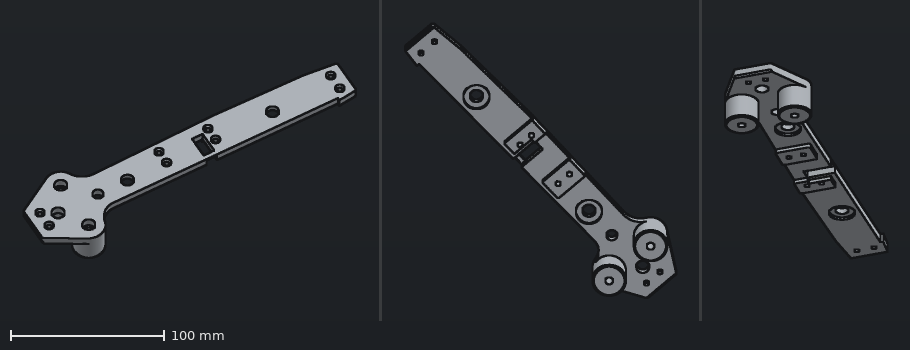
import cadquery as cq
import math

length = 236.5
plate_thickness = 6.5
total_height = 23.2
half_length = length / 2

end_half_width = 12.5
taper_half_width = 15.1
taper_y = 94.0
bulge_x = -16.8
bulge_y = 27.5
neck_left_x = -15.4
neck_right_x = 11.0
neck_y = -64.0
right_edge_x = 12.0
hook_y = 104.5
end_corner_radius = 1.5
end_chamfer_height = 1.5
end_chamfer_depth = 1.0

standoff_x = 18.2
standoff_y = -86.8
standoff_diameter = 22.0
standoff_chamfer = 1.0
standoff_bore = 5.0
standoff_counterbore = 8.5
standoff_counterbore_depth = 6.6

pad_length = 15.5
pad_height = 2.8
pad_right_x = 7.8
pad_corner_radius = 1.0
pad_centers_y = (19.0, -18.0)

window_width = 15.1
window_length = 7.8
window_x = 0.2
window_top_y = 13.7
window_skin = 1.5
pad_setback = 3.0

arm_hole_ys = (62.2, -47.0)
arm_hole_diameter = 8.5
arm_hole_recess = 17.0
arm_hole_skin = 4.5
upper_head_hole_y = -69.3
upper_head_hole_diameter = 7.0
lower_head_hole_y = -99.3
lower_head_hole_diameter = 8.5

screw_bore = 3.3
screw_head = 6.1
end_screw_x = 6.0
end_screw_y = 109.5
pad_screw_xs = (-9.2, 0.7)


def neck_fillet(neck_x, side):
    """Middle and end of the fillet from the arm edge to the standoff circle (side +1 right, -1 left)."""
    head_radius = standoff_diameter / 2
    offset = standoff_x - side * neck_x
    rise = neck_y - standoff_y
    fillet_radius = (offset**2 + rise**2 - head_radius**2) / (2 * (offset + head_radius))
    join_angle = math.atan2(rise, fillet_radius - offset)
    middle_angle = math.pi + join_angle / 2
    middle = (
        neck_x + side * fillet_radius * (1 + math.cos(middle_angle)),
        neck_y + fillet_radius * math.sin(middle_angle),
    )
    return middle, on_standoff(join_angle, side)


def on_standoff(angle, side):
    """Point on the standoff circle; the angle is mirrored for the left one."""
    radius = standoff_diameter / 2
    return (
        side * (standoff_x + radius * math.cos(angle)),
        standoff_y + radius * math.sin(angle),
    )


def flank_start(side):
    """Point where the straight flank from the end corner touches the standoff circle."""
    to_corner_x = end_half_width - standoff_x
    to_corner_y = -half_length - standoff_y
    corner_distance = math.hypot(to_corner_x, to_corner_y)
    tangent_turn = math.acos(standoff_diameter / 2 / corner_distance)
    return on_standoff(math.atan2(to_corner_y, to_corner_x) + tangent_turn, side)


def arm_left_x(y):
    """X of the straight left edge between the bulge and the neck."""
    return bulge_x + (neck_left_x - bulge_x) * (y - bulge_y) / (neck_y - bulge_y)


def make_plate():
    """Plate without the round head corners, which are the tops of the standoffs."""
    taper_slope = (taper_half_width - end_half_width) / (half_length - taper_y)
    hook_x = end_half_width + taper_slope * (half_length - hook_y)
    right_middle, right_join = neck_fillet(neck_right_x, 1)
    left_middle, left_join = neck_fillet(neck_left_x, -1)
    plate = (
        cq.Workplane("XY")
        .moveTo(-end_half_width, half_length)
        .lineTo(end_half_width, half_length)
        .lineTo(hook_x, hook_y)
        .lineTo(right_edge_x, hook_y)
        .lineTo(neck_right_x, neck_y)
        .threePointArc(right_middle, right_join)
        .lineTo(standoff_x, standoff_y)
        .lineTo(*flank_start(1))
        .lineTo(end_half_width, -half_length)
        .lineTo(-end_half_width, -half_length)
        .lineTo(*flank_start(-1))
        .lineTo(-standoff_x, standoff_y)
        .lineTo(*left_join)
        .threePointArc(left_middle, (neck_left_x, neck_y))
        .lineTo(bulge_x, bulge_y)
        .lineTo(-taper_half_width, taper_y)
        .close()
        .extrude(-plate_thickness)
    )
    for end in (">Y", "<Y"):
        plate = plate.faces(end).edges("|Z").fillet(end_corner_radius)
    return plate


def end_chamfer_cut(side):
    """Wedge that bevels the lower edge of one end of the plate."""
    end_y = side * half_length
    return (
        cq.Workplane("YZ")
        .moveTo(end_y, -plate_thickness + end_chamfer_height)
        .lineTo(end_y, -plate_thickness)
        .lineTo(end_y - side * end_chamfer_depth, -plate_thickness)
        .close()
        .extrude(end_half_width * 2, both=True)
    )


def make_standoffs():
    return (
        cq.Workplane("XY")
        .pushPoints([(-standoff_x, standoff_y), (standoff_x, standoff_y)])
        .circle(standoff_diameter / 2)
        .extrude(-total_height)
        .faces("<Z")
        .chamfer(standoff_chamfer)
    )


def make_pad(centre_y):
    top_y = centre_y + pad_length / 2
    bottom_y = centre_y - pad_length / 2
    return (
        cq.Workplane("XY")
        .moveTo(arm_left_x(top_y), top_y)
        .lineTo(pad_right_x, top_y)
        .lineTo(pad_right_x, bottom_y)
        .lineTo(arm_left_x(bottom_y), bottom_y)
        .close()
        .extrude(-plate_thickness - pad_height)
        .edges("|Z")
        .fillet(pad_corner_radius)
    )


def round_cut(x, y, diameter):
    return cq.Workplane("XY").center(x, y).circle(diameter / 2).extrude(-total_height)


def screw_cut(x, y):
    """Through hole with a 90 degree countersink from the top face."""
    sink_depth = (screw_head - screw_bore) / 2
    cone = cq.Solid.makeCone(
        screw_head / 2, screw_bore / 2, sink_depth, cq.Vector(x, y, 0), cq.Vector(0, 0, -1)
    )
    return round_cut(x, y, screw_bore).union(cq.Workplane(cone))


result = make_plate()
for side in (-1, 1):
    result = result.cut(end_chamfer_cut(side))

window_y = window_top_y - window_length / 2
for pad_y in pad_centers_y:
    result = result.union(make_pad(pad_y))
pad_end = (
    cq.Workplane("XY", origin=(0, window_y, -plate_thickness))
    .rect(2 * abs(bulge_x), window_length)
    .extrude(-pad_height)
)
result = result.cut(pad_end)
window = (
    cq.Workplane("XY", origin=(window_x, window_y, 0))
    .rect(window_width, window_length)
    .extrude(-plate_thickness)
)
result = result.cut(window)

relief_left = window_x - window_width / 2
relief = (
    cq.Workplane("XY", origin=(relief_left, window_top_y - window_length, -window_skin))
    .rect(right_edge_x - relief_left, window_length, centered=False)
    .extrude(-plate_thickness)
)
result = result.cut(relief)

setback = (
    cq.Workplane("XY", origin=(relief_left, window_top_y, -plate_thickness))
    .rect(pad_right_x - relief_left, pad_setback, centered=False)
    .extrude(-pad_height)
)
result = result.cut(setback)

result = result.union(make_standoffs())
for x in (-standoff_x, standoff_x):
    result = result.cut(round_cut(x, standoff_y, standoff_bore))
    counterbore = (
        cq.Workplane("XY")
        .center(x, standoff_y)
        .circle(standoff_counterbore / 2)
        .extrude(-standoff_counterbore_depth)
    )
    result = result.cut(counterbore)

result = result.cut(round_cut(0, upper_head_hole_y, upper_head_hole_diameter))
result = result.cut(round_cut(0, lower_head_hole_y, lower_head_hole_diameter))
for hole_y in arm_hole_ys:
    recess = round_cut(0, hole_y, arm_hole_recess).translate((0, 0, -arm_hole_skin))
    result = result.cut(round_cut(0, hole_y, arm_hole_diameter)).cut(recess)

for x in (-end_screw_x, end_screw_x):
    for y in (-end_screw_y, end_screw_y):
        result = result.cut(screw_cut(x, y))
for x in pad_screw_xs:
    for y in pad_centers_y:
        result = result.cut(screw_cut(x, y))